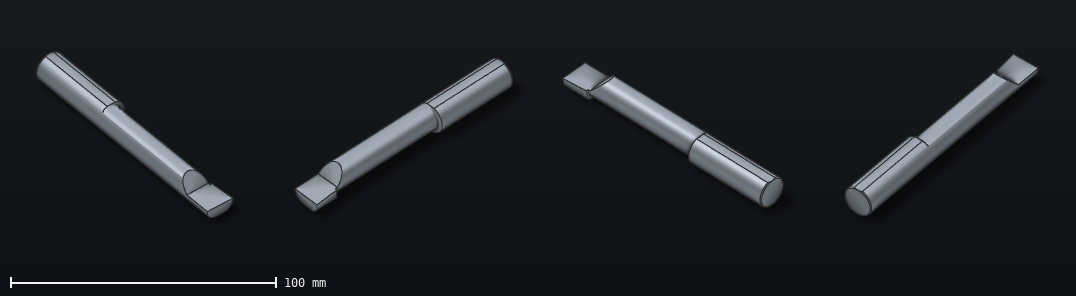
import cadquery as cq
import math

total_length = 101.6
shank_radius = 6.35
shank_length = 36.9
flat_height = 6.05
end_chamfer_length = 0.5
end_chamfer_depth = 0.3

neck_radius = 5.5
neck_offset_y = -1.3
shoulder_fillet = 0.5

ramp_end_x = 89.2
ramp_angle = 45.0
head_start_x = 90.1
tip_y = 6.0
head_rear_y = 5.1
end_relief_angle = 7.0
side_relief_angle = 7.0
end_skew_angle = 1.5

clearance = 10.2


def make_shank():
    """Round shank with a chamfered end and a narrow flat along the top."""
    bar = (
        cq.Workplane("XY")
        .moveTo(0, 0)
        .lineTo(0, shank_radius - end_chamfer_depth)
        .lineTo(end_chamfer_length, shank_radius)
        .lineTo(shank_length, shank_radius)
        .lineTo(shank_length, 0)
        .close()
        .revolve(360, (0, 0, 0), (1, 0, 0))
    )
    above_flat = cq.Workplane("XY").workplane(offset=flat_height).rect(
        2 * total_length, 4 * shank_radius
    ).extrude(clearance)
    return bar.cut(above_flat)


def make_neck():
    """Offset neck, flared by a fillet where it meets the shank shoulder."""
    arc_reach = shoulder_fillet * (1 - math.sqrt(0.5))
    neck = (
        cq.Workplane("XY", origin=(shank_length, neck_offset_y, 0))
        .moveTo(0, 0)
        .lineTo(0, neck_radius + shoulder_fillet)
        .threePointArc((arc_reach, neck_radius + arc_reach), (shoulder_fillet, neck_radius))
        .lineTo(total_length - shank_length, neck_radius)
        .lineTo(total_length - shank_length, 0)
        .close()
        .revolve(360, (0, 0, 0), (1, 0, 0))
    )
    return neck


def make_head():
    """Widened block on the +Y side of the neck, with its side wall relieved downwards."""
    relief_run = neck_radius * math.tan(math.radians(side_relief_angle))

    def outline(z, inset):
        return cq.Wire.makePolygon(
            [
                cq.Vector(head_start_x, neck_offset_y, z),
                cq.Vector(total_length, neck_offset_y, z),
                cq.Vector(total_length, tip_y - inset, z),
                cq.Vector(head_start_x, head_rear_y - inset, z),
            ],
            close=True,
        )

    block = cq.Solid.makeLoft([outline(0, 0), outline(-neck_radius, relief_run)], True)
    return cq.Workplane("XY").add(block)


def make_ramp_cutter():
    """Space above the rake face and its ramp."""
    ramp_run = clearance / math.tan(math.radians(ramp_angle))
    return (
        cq.Workplane("XZ")
        .polyline(
            [
                (ramp_end_x, 0),
                (total_length + clearance, 0),
                (total_length + clearance, clearance),
                (ramp_end_x - ramp_run, clearance),
            ]
        )
        .close()
        .extrude(2 * shank_radius, both=True)
    )


def make_end_cutter():
    """Half-space beyond the end face, which is relieved downwards and skewed about the tip."""
    size = 4 * shank_radius
    tip = (total_length, tip_y, 0)
    return (
        cq.Workplane("XY", origin=tip)
        .box(size, size, size, centered=(False, True, True))
        .rotate(tip, (total_length, tip_y + 1, 0), end_relief_angle)
        .rotate(tip, (total_length, tip_y, 1), -end_skew_angle)
    )


shank_envelope = (
    cq.Workplane("YZ", origin=(shank_length, 0, 0))
    .circle(shank_radius)
    .extrude(total_length - shank_length)
)
cutting_bar = make_neck().union(make_head()).intersect(shank_envelope)
cutting_bar = cutting_bar.cut(make_ramp_cutter()).cut(make_end_cutter())

result = make_shank().union(cutting_bar)